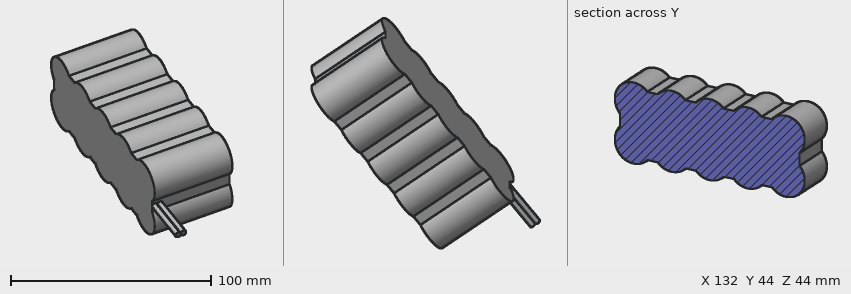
import cadquery as cq

cell_diameter = 22.0
cell_length = 44.0
columns = 5
rows = 2

core_end_inset = 3.0
core_side_inset = 3.5

lead_diameter = 3.0
lead_overhang = 22.0
lead_count = 2

pack_length = columns * cell_diameter
pack_height = rows * cell_diameter
core_length = pack_length - 2 * core_end_inset
core_height = pack_height - 2 * core_side_inset
front_y = -cell_length / 2
back_y = cell_length / 2


def make_core():
    """Block that fills the gaps between the cells."""
    return cq.Workplane("XY").box(core_length, cell_length, core_height)


def make_cell(column, row):
    """One cell of the grid, from the back face to the front face; neighbours touch."""
    center_x = (column + 0.5) * cell_diameter - pack_length / 2
    center_z = (row + 0.5) * cell_diameter - pack_height / 2
    return (
        cq.Workplane("XZ", origin=(center_x, back_y, center_z))
        .circle(cell_diameter / 2)
        .extrude(cell_length)
    )


def make_lead(index):
    """Straight round lead from the +X end of the core; the first one is flush with the front face."""
    lead_y = front_y + (index + 0.5) * lead_diameter
    return (
        cq.Workplane("YZ", origin=(core_length / 2, lead_y, 0))
        .circle(lead_diameter / 2)
        .extrude(core_end_inset + lead_overhang)
    )


result = make_core()
for column_index in range(columns):
    for row_index in range(rows):
        result = result.union(make_cell(column_index, row_index))
for lead_index in range(lead_count):
    result = result.union(make_lead(lead_index))